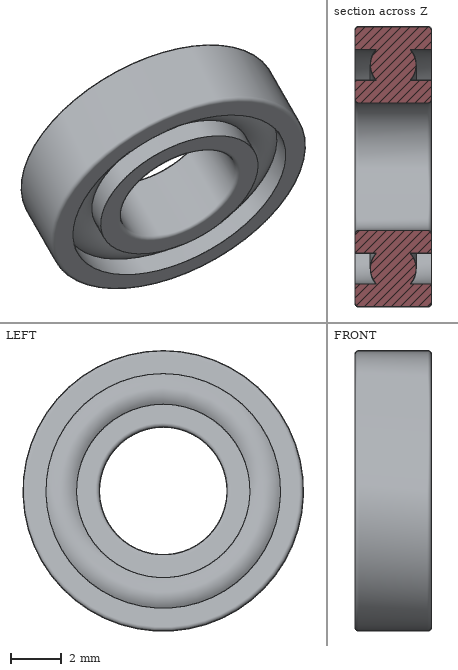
import cadquery as cq
import math

outer_radius = 5.5
bore_radius = 2.5
width = 3.0
edge_radius = 0.15

gap_outer_radius = 4.6
gap_inner_radius = 3.4

pitch_radius = (gap_outer_radius + gap_inner_radius) / 2
ball_radius = 0.9

half_width = width / 2
half_gap = (gap_outer_radius - gap_inner_radius) / 2
torus_edge = math.sqrt(ball_radius**2 - half_gap**2)

section = (
    cq.Workplane("XZ")
    .moveTo(-half_width, bore_radius)
    .lineTo(half_width, bore_radius)
    .lineTo(half_width, gap_inner_radius)
    .lineTo(torus_edge, gap_inner_radius)
    .threePointArc((ball_radius, pitch_radius), (torus_edge, gap_outer_radius))
    .lineTo(half_width, gap_outer_radius)
    .lineTo(half_width, outer_radius)
    .lineTo(-half_width, outer_radius)
    .lineTo(-half_width, gap_outer_radius)
    .lineTo(-torus_edge, gap_outer_radius)
    .threePointArc((-ball_radius, pitch_radius), (-torus_edge, gap_inner_radius))
    .lineTo(-half_width, gap_inner_radius)
    .close()
)
body = section.revolve(360, (0, 0), (1, 0))

bore_and_rim = cq.selectors.SumSelector(
    cq.selectors.RadiusNthSelector(0),
    cq.selectors.RadiusNthSelector(-1),
)
result = body.faces("<X or >X").edges(bore_and_rim).fillet(edge_radius)